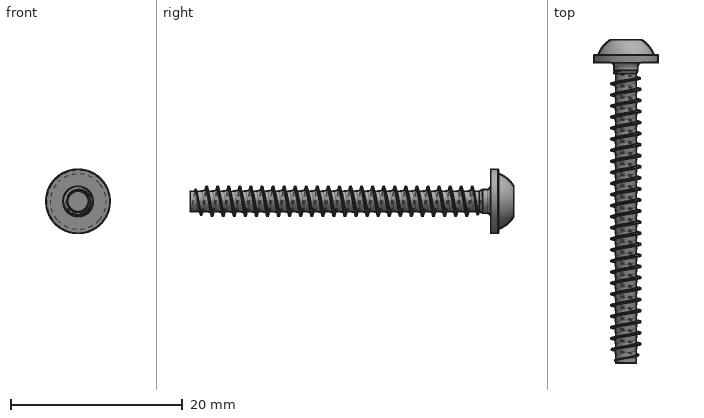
import cadquery as cq
import math


head_height = 2.7
flange_radius = 3.75
flange_thickness = 0.95
flange_edge_chamfer = 0.1
dome_base_radius = 3.25
dome_top_radius = 1.8

shank_length = 35.0
neck_radius = 1.4
neck_fillet = 0.4
neck_length = 0.9
neck_taper_length = 0.4
core_radius = 1.2

thread_radius = 1.75
thread_pitch = 1.29
crest_tip_width = 0.02
crest_head_width = 0.04
shoulder_radius = core_radius + 0.1
ridge_tip_width = 0.08
root_radius = core_radius - 0.04
root_tip_width = 0.98
root_head_width = 0.2

tip_gap = 0.13
first_crest_gap = 0.93
head_gap = 0.53
runout_turns = 1.25
end_scale = 0.12
points_per_turn = 16


def dome_radius_at(height):
    """Radius of the spherical dome, centred on the axis, at a height above the bearing face."""
    centre = (
        head_height**2 + dome_top_radius**2 - flange_thickness**2 - dome_base_radius**2
    ) / (2 * (head_height - flange_thickness))
    sphere_radius = math.hypot(dome_top_radius, head_height - centre)
    return math.sqrt(sphere_radius**2 - (height - centre) ** 2)


def revolve_about_y(outline):
    return outline.close().revolve(360, (0, 0, 0), (0, 1, 0))


def make_blank():
    """Head, neck and plain core as one revolved body."""
    dome_mid_height = (flange_thickness + head_height) / 2
    fillet_mid = neck_fillet * (1 - math.sqrt(0.5))
    outline = (
        cq.Workplane("XY")
        .moveTo(0, head_height)
        .lineTo(dome_top_radius, head_height)
        .threePointArc(
            (dome_radius_at(dome_mid_height), dome_mid_height),
            (dome_base_radius, flange_thickness),
        )
        .lineTo(flange_radius - flange_edge_chamfer, flange_thickness)
        .lineTo(flange_radius, flange_thickness - flange_edge_chamfer)
        .lineTo(flange_radius, 0)
        .lineTo(neck_radius + neck_fillet, 0)
        .threePointArc((neck_radius + fillet_mid, -fillet_mid), (neck_radius, -neck_fillet))
        .lineTo(neck_radius, -neck_length)
        .lineTo(core_radius, -neck_length - neck_taper_length)
        .lineTo(core_radius, -shank_length)
        .lineTo(0, -shank_length)
    )
    return revolve_about_y(outline)


def thread_section_scale(turn, total_turns):
    """Size of the thread section: full along the shank, shrinking over the run-outs."""
    turns_to_end = min(turn, total_turns - turn)
    runout_share = min(1, turns_to_end / runout_turns)
    return end_scale + (1 - end_scale) * runout_share


def thread_corner_edge(radius, offset):
    """Right-handed helical curve traced about Y by one corner of the thread section."""
    total_turns = (shank_length - tip_gap - head_gap) / thread_pitch
    first_crest_turn = (first_crest_gap - tip_gap) / thread_pitch
    steps = round(total_turns * points_per_turn)
    points = []
    for step in range(steps + 1):
        turn = total_turns * step / steps
        scale = thread_section_scale(turn, total_turns)
        angle = 2 * math.pi * (turn - first_crest_turn)
        point_radius = root_radius + scale * (radius - root_radius)
        y = -shank_length + tip_gap + turn * thread_pitch + scale * offset
        points.append(cq.Vector(point_radius * math.cos(angle), y, -point_radius * math.sin(angle)))
    return cq.Edge.makeSpline(points)


def make_thread():
    """Solid ridge: ruled faces between neighbouring corner curves, closed by two flat ends."""
    section = [
        (root_radius, -root_tip_width),
        (shoulder_radius, -ridge_tip_width),
        (thread_radius, -crest_tip_width),
        (thread_radius, crest_head_width),
        (root_radius, root_head_width),
    ]
    edges = [thread_corner_edge(radius, offset) for radius, offset in section]
    next_edges = edges[1:] + edges[:1]
    faces = [cq.Face.makeRuledSurface(edge, following) for edge, following in zip(edges, next_edges)]
    for end_point in (cq.Edge.startPoint, cq.Edge.endPoint):
        corners = [end_point(edge) for edge in edges]
        faces.append(cq.Face.makeFromWires(cq.Wire.makePolygon(corners, close=True)))
    return cq.Workplane(cq.Solid.makeSolid(cq.Shell.makeShell(faces)))


result = make_blank().union(make_thread())